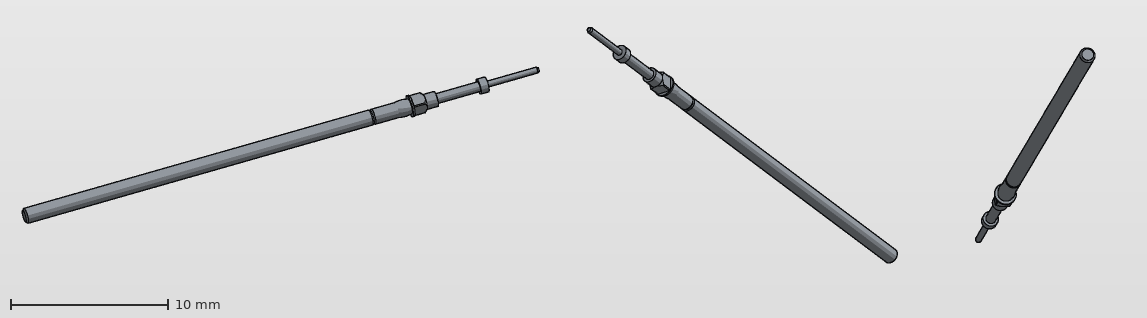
import cadquery as cq

TOTAL_LENGTH = 34.8
COLLAR_START = 3.52
COLLAR_END = 4.05
SHOULDER_START = 6.95
SQUARE_START = 7.7
FLANGE_START = 8.6
FLANGE_END = 8.72
PRESS_RING_CREST = 9.13
PRESS_RING_END = 9.6
GROOVE_START = 11.18
GROOVE_END = 11.38

PLUNGER_DIAMETER = 0.4
NECK_DIAMETER = 0.65
BARREL_DIAMETER = 1.0
GROOVE_DIAMETER = 0.92
PRESS_RING_DIAMETER = 1.12
FLANGE_DIAMETER = 1.4

SQUARE_WIDTH = BARREL_DIAMETER
SQUARE_CORNER_DIAMETER = 1.33
SQUARE_LEAD_IN = 0.15

TIP_CHAMFER_LENGTH = 0.13
TIP_CHAMFER_DEPTH = 0.06
END_CHAMFER = 0.12


def axial_y(station):
    """Y of a point at the given distance from the tip; Y = 0 is the flange's rear face."""
    return FLANGE_END - station


def turned_section(diameter, start, end):
    """Cylinder about the Y axis between two stations."""
    plane = cq.Workplane("XZ", origin=(0, axial_y(start), 0))
    return plane.circle(diameter / 2).extrude(end - start)


def turned_profile(points):
    """Solid of revolution about the Y axis from (diameter, station) points."""
    outline = [(diameter / 2, axial_y(station)) for diameter, station in points]
    return cq.Workplane("XY").polyline(outline).close().revolve(360, (0, 0, 0), (0, 1, 0))


def plunger():
    """Thin rod with a tapered tip."""
    return turned_profile([
        (0, 0),
        (PLUNGER_DIAMETER - 2 * TIP_CHAMFER_DEPTH, 0),
        (PLUNGER_DIAMETER, TIP_CHAMFER_LENGTH),
        (PLUNGER_DIAMETER, COLLAR_START),
        (0, COLLAR_START),
    ])


def square_drive():
    """Square section with its corners turned down and tapered at the front."""
    plane = cq.Workplane("XZ", origin=(0, axial_y(SQUARE_START), 0))
    block = plane.rect(SQUARE_WIDTH, SQUARE_WIDTH).extrude(FLANGE_START - SQUARE_START)
    envelope = turned_profile([
        (0, SQUARE_START),
        (BARREL_DIAMETER, SQUARE_START),
        (SQUARE_CORNER_DIAMETER, SQUARE_START + SQUARE_LEAD_IN),
        (SQUARE_CORNER_DIAMETER, FLANGE_START),
        (0, FLANGE_START),
    ])
    return block.intersect(envelope)


def press_ring():
    """Smoothly bulging band behind the flange."""
    barrel_radius = BARREL_DIAMETER / 2
    crest = (PRESS_RING_DIAMETER / 2, axial_y(PRESS_RING_CREST))
    profile = (
        cq.Workplane("XY")
        .moveTo(0, axial_y(FLANGE_END))
        .lineTo(barrel_radius, axial_y(FLANGE_END))
        .threePointArc(crest, (barrel_radius, axial_y(PRESS_RING_END)))
        .lineTo(0, axial_y(PRESS_RING_END))
        .close()
    )
    return profile.revolve(360, (0, 0, 0), (0, 1, 0))


def rear_barrel():
    """Long tail with a shallow V groove and a chamfered free end."""
    return turned_profile([
        (0, PRESS_RING_END),
        (BARREL_DIAMETER, PRESS_RING_END),
        (BARREL_DIAMETER, GROOVE_START),
        (GROOVE_DIAMETER, (GROOVE_START + GROOVE_END) / 2),
        (BARREL_DIAMETER, GROOVE_END),
        (BARREL_DIAMETER, TOTAL_LENGTH - END_CHAMFER),
        (BARREL_DIAMETER - 2 * END_CHAMFER, TOTAL_LENGTH),
        (0, TOTAL_LENGTH),
    ])


collar = turned_section(BARREL_DIAMETER, COLLAR_START, COLLAR_END)
neck = turned_section(NECK_DIAMETER, COLLAR_END, SHOULDER_START)
shoulder = turned_section(BARREL_DIAMETER, SHOULDER_START, SQUARE_START)
flange = turned_section(FLANGE_DIAMETER, FLANGE_START, FLANGE_END)

result = (
    plunger()
    .union(collar)
    .union(neck)
    .union(shoulder)
    .union(square_drive())
    .union(flange)
    .union(press_ring())
    .union(rear_barrel())
)